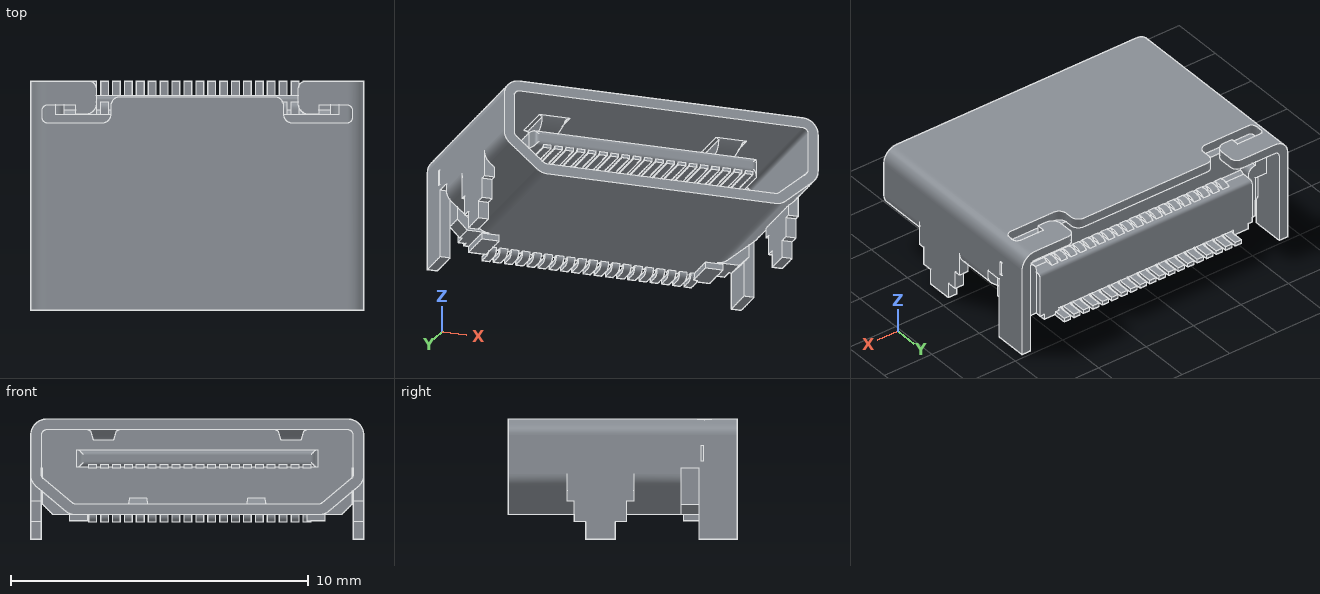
import cadquery as cq
import math


WIDTH = 11.2
LENGTH = 7.7
SHELL_HEIGHT = 3.22
TOTAL_HEIGHT = 4.05
WALL = 0.36
BEND_RADIUS = 0.55
SLOPE_ANGLE = 40.0
SIDE_HEIGHT = 2.11
HALF_WIDTH = WIDTH / 2
INNER_HALF = HALF_WIDTH - WALL
LEG_BOTTOM = SHELL_HEIGHT - TOTAL_HEIGHT
CEILING = SHELL_HEIGHT - WALL

TROUGH_END = LENGTH - 1.9
PLATE_END = LENGTH - 0.53
PLATE_HALF = 2.9
PLATE_CORNER = 0.3
EAR_HALF = 3.39
EAR_FRONT = LENGTH - 1.11
EAR_REAR_CORNER = 0.26
EAR_FRONT_CORNER = 0.35
SLOT_FRONT = LENGTH - 1.41
SLOT_REAR = LENGTH - 0.8
SLOT_OUTER = 5.22
SLOT_CORNER = 0.2
EAR_NOTCH_HALF = 4.09

SIDE_EDGE = SHELL_HEIGHT - 1.85
REAR_LEG_FRONT = LENGTH - 1.29
RELIEF_TOP = SHELL_HEIGHT - 1.65
LEG_CENTRE = LENGTH - 4.6
LEG_STEPS = ((2.24, SHELL_HEIGHT - 2.76), (1.76, SHELL_HEIGHT - 3.45), (1.0, LEG_BOTTOM))
SLIT_WIDTH = 0.09
SLIT_DEPTH = 0.06
SLIT_CENTRE = LENGTH - 1.175
SLIT_TOP = SHELL_HEIGHT - 0.9
SLIT_BOTTOM = SHELL_HEIGHT - 1.42

HOUSING_HALF = 5.2
HOUSING_FOOT_HALF = 4.85
HOUSING_CHAMFER = 0.35
WALL_REAR = LENGTH - 1.13
LOBE_INNER = 4.76
LOBE_REAR = LENGTH - 0.7
LEDGE_REAR = LENGTH - 0.48
LEDGE_FILLET = 0.16
LEDGE_HALF = 4.47
CURB_RISE = 0.1
LEDGE_RAMP_LENGTH = 0.16
LEDGE_RAMP_HEIGHT = 0.08
LEDGE_TOP = SHELL_HEIGHT - 1.52
FOOT_INNER = 3.68
FOOT_OUTER = 4.3
FOOT_FRONT = LENGTH - 1.81
FOOT_DROP = 0.21

TONGUE_HALF = 4.05
TONGUE_TOP = SHELL_HEIGHT - 1.05
TONGUE_BOTTOM = SHELL_HEIGHT - 1.61
TONGUE_TIP = 1.5
TIP_FILLET = 0.165
BEVEL_INSET = 0.13
BEVEL_LENGTH = 0.35

CONTACT_COUNT = 19
CONTACT_PITCH = 0.4
CONTACT_OFFSET = 0.085
CONTACT_WIDTH = 0.27
CONTACT_THICKNESS = 0.15
CONTACT_SETBACK = 0.03
CONTACT_BOTTOM = SHELL_HEIGHT - 1.65
TAIL_DROP = 0.25
TAIL_THICKNESS = 0.15
TAIL_REAR_FACE = LENGTH - 0.56
TAIL_UPPER_BEND = 0.25
TAIL_LOWER_BEND = 0.07
TAIL_RISE = 0.1

TOP_BUMP_X = 3.15
TOP_BUMP_DEPTH = 0.35
TOP_BUMP_BASE = 0.86
TOP_BUMP_TIP = 0.68
TOP_BUMP_LIP = 1.09
TOP_BUMP_LIP_DEPTH = 0.05
TOP_BUMP_CENTRE = 2.6
TOP_BUMP_LENGTH = 1.6
FLOOR_BUMP_X = 1.985
FLOOR_BUMP_HEIGHT = 0.21
FLOOR_BUMP_BASE = 0.65
FLOOR_BUMP_TIP = 0.57
FLOOR_BUMP_START = 1.12
FLOOR_BUMP_END = 3.5

OVERLAP = 0.02


def box(x0, x1, y0, y1, z0, z1):
    """Axis-aligned block between two corners."""
    return cq.Workplane("XY").box(x1 - x0, y1 - y0, z1 - z0, centered=False).translate((x0, y0, z0))


def both_sides(shape):
    """The shape joined with its mirror image across the YZ plane."""
    return shape.union(shape.mirror("YZ"))


def shell_prism(inset, length):
    """Prism of the D-shaped shell section, moved inwards by `inset`, with rounded bends."""
    slope = math.radians(SLOPE_ANGLE)
    half = HALF_WIDTH - inset
    top = SHELL_HEIGHT - inset
    shoulder = SHELL_HEIGHT - SIDE_HEIGHT + inset * math.tan((math.pi / 2 - slope) / 2)
    floor_half = half - (shoulder - inset) / math.tan(slope)
    outline = [
        (-half, top),
        (half, top),
        (half, shoulder),
        (floor_half, inset),
        (-floor_half, inset),
        (-half, shoulder),
    ]
    prism = cq.Workplane("XZ").polyline(outline).close().extrude(-length)
    return prism.edges("|Y").fillet(BEND_RADIUS - inset)


def top_opening():
    """Cut that parts the left rear ear from the top plate, open to the rear."""
    cut = (
        cq.Workplane("XY", origin=(0, 0, SHELL_HEIGHT - BEND_RADIUS))
        .moveTo(-SLOT_OUTER, SLOT_FRONT)
        .lineTo(-PLATE_HALF, SLOT_FRONT)
        .lineTo(-PLATE_HALF, PLATE_END)
        .lineTo(0, PLATE_END)
        .lineTo(0, LENGTH)
        .lineTo(-EAR_HALF - EAR_REAR_CORNER, LENGTH)
        .radiusArc((-EAR_HALF, LENGTH - EAR_REAR_CORNER), EAR_REAR_CORNER)
        .lineTo(-EAR_HALF, EAR_FRONT)
        .lineTo(-EAR_NOTCH_HALF, EAR_FRONT)
        .lineTo(-EAR_NOTCH_HALF, SLOT_REAR)
        .lineTo(-SLOT_OUTER, SLOT_REAR)
        .close()
        .extrude(BEND_RADIUS)
    )
    rounded_corners = (
        (-SLOT_OUTER, SLOT_FRONT, SLOT_CORNER),
        (-SLOT_OUTER, SLOT_REAR, SLOT_CORNER),
        (-PLATE_HALF, SLOT_FRONT, PLATE_CORNER),
        (-PLATE_HALF, PLATE_END, PLATE_CORNER),
        (-EAR_HALF, EAR_FRONT, EAR_FRONT_CORNER),
    )
    for x, y, radius in rounded_corners:
        nearest = cq.selectors.NearestToPointSelector((x, y, SHELL_HEIGHT - BEND_RADIUS / 2))
        cut = cut.edges(nearest).fillet(radius)
    return cut


def side_legs():
    """Left side wall below the bend: rear leg and stepped front leg."""
    legs = box(-HALF_WIDTH, -INNER_HALF, REAR_LEG_FRONT, LENGTH, LEG_BOTTOM, RELIEF_TOP)
    for step_length, step_bottom in LEG_STEPS:
        y0 = LEG_CENTRE - step_length / 2
        legs = legs.union(box(-HALF_WIDTH, -INNER_HALF, y0, y0 + step_length, step_bottom, SIDE_EDGE))
    return legs


def shell():
    """Sheet-metal shell with its rear ears, legs and side slits."""
    body = shell_prism(0, LENGTH).cut(shell_prism(WALL, LENGTH))
    body = body.cut(box(-HALF_WIDTH, HALF_WIDTH, TROUGH_END, LENGTH, 0, RELIEF_TOP))
    body = body.cut(both_sides(top_opening()))
    body = body.union(both_sides(side_legs()))
    slit = box(
        -HALF_WIDTH,
        -HALF_WIDTH + SLIT_DEPTH,
        SLIT_CENTRE - SLIT_WIDTH / 2,
        SLIT_CENTRE + SLIT_WIDTH / 2,
        SLIT_BOTTOM,
        SLIT_TOP,
    )
    return body.cut(both_sides(slit))


def top_bump():
    """Bowed bump hanging from the ceiling on the left, narrowing downwards from a flared lip."""
    root = CEILING + OVERLAP
    taper = [
        (-TOP_BUMP_BASE / 2, CEILING - TOP_BUMP_LIP_DEPTH),
        (-TOP_BUMP_LIP / 2, CEILING),
        (-TOP_BUMP_LIP / 2, root),
        (TOP_BUMP_LIP / 2, root),
        (TOP_BUMP_LIP / 2, CEILING),
        (TOP_BUMP_BASE / 2, CEILING - TOP_BUMP_LIP_DEPTH),
        (TOP_BUMP_TIP / 2, CEILING - TOP_BUMP_DEPTH),
        (-TOP_BUMP_TIP / 2, CEILING - TOP_BUMP_DEPTH),
    ]
    wedge = cq.Workplane("XZ").polyline(taper).close().extrude(-LENGTH)
    start = TOP_BUMP_CENTRE - TOP_BUMP_LENGTH / 2
    bow = (
        cq.Workplane("YZ")
        .moveTo(start, root)
        .threePointArc((TOP_BUMP_CENTRE, CEILING - TOP_BUMP_DEPTH), (start + TOP_BUMP_LENGTH, root))
        .close()
        .extrude(TOP_BUMP_LIP / 2, both=True)
    )
    return wedge.intersect(bow).translate((-TOP_BUMP_X, 0, 0))


def floor_bump():
    """Ramp rising rearwards from the shell floor on the left, narrowing upwards."""
    root = WALL - OVERLAP
    crest = WALL + FLOOR_BUMP_HEIGHT
    taper = [
        (-FLOOR_BUMP_BASE / 2, root),
        (FLOOR_BUMP_BASE / 2, root),
        (FLOOR_BUMP_TIP / 2, crest),
        (-FLOOR_BUMP_TIP / 2, crest),
    ]
    wedge = cq.Workplane("XZ").polyline(taper).close().extrude(-LENGTH)
    side = [
        (FLOOR_BUMP_START, root),
        (FLOOR_BUMP_START, WALL),
        (FLOOR_BUMP_END, crest),
        (FLOOR_BUMP_END, root),
    ]
    ramp = cq.Workplane("YZ").polyline(side).close().extrude(FLOOR_BUMP_BASE / 2, both=True)
    return wedge.intersect(ramp).translate((-FLOOR_BUMP_X, 0, 0))


def tongue():
    """Mating tongue with bevelled sides and a rounded tip."""
    blade_outline = [
        (-TONGUE_HALF, TROUGH_END + OVERLAP),
        (-TONGUE_HALF, TONGUE_TIP + BEVEL_LENGTH),
        (-TONGUE_HALF + BEVEL_INSET, TONGUE_TIP),
        (TONGUE_HALF - BEVEL_INSET, TONGUE_TIP),
        (TONGUE_HALF, TONGUE_TIP + BEVEL_LENGTH),
        (TONGUE_HALF, TROUGH_END + OVERLAP),
    ]
    blade = cq.Workplane("XY", origin=(0, 0, TONGUE_BOTTOM)).polyline(blade_outline).close()
    blade = blade.extrude(TONGUE_TOP - TONGUE_BOTTOM)
    return blade.faces("<Y").edges().fillet(TIP_FILLET)


def rear_ledge():
    """Low ledge behind the wall: rounded rear edge, ramp up to the wall, rounded end curbs."""
    ledge = box(-LEDGE_HALF, LEDGE_HALF, WALL_REAR - OVERLAP, LEDGE_REAR, 0, LEDGE_TOP)
    ledge = ledge.faces(">Y").edges(">Z").fillet(LEDGE_FILLET)
    ramp_side = [
        (WALL_REAR - OVERLAP, LEDGE_TOP - OVERLAP),
        (WALL_REAR - OVERLAP, LEDGE_TOP + LEDGE_RAMP_HEIGHT),
        (WALL_REAR, LEDGE_TOP + LEDGE_RAMP_HEIGHT),
        (WALL_REAR + LEDGE_RAMP_LENGTH, LEDGE_TOP),
        (WALL_REAR + LEDGE_RAMP_LENGTH, LEDGE_TOP - OVERLAP),
    ]
    ramp = cq.Workplane("YZ").polyline(ramp_side).close().extrude(LEDGE_HALF, both=True)
    curb_radius = LOBE_INNER - LEDGE_HALF
    curb = (
        cq.Workplane("XZ", origin=(0, WALL_REAR - OVERLAP, 0))
        .moveTo(-LEDGE_HALF, 0)
        .lineTo(-LEDGE_HALF, LEDGE_TOP + CURB_RISE)
        .radiusArc((-LOBE_INNER, LEDGE_TOP + CURB_RISE + curb_radius), -curb_radius)
        .lineTo(-LOBE_INNER, 0)
        .close()
        .extrude(WALL_REAR - OVERLAP - LOBE_REAR)
    )
    return ledge.union(ramp).union(both_sides(curb))


def housing():
    """Insulator: wall closing the cavity, rear ledge, side lobes, board feet and tongue."""
    base_section = [
        (-HOUSING_HALF, RELIEF_TOP),
        (HOUSING_HALF, RELIEF_TOP),
        (HOUSING_HALF, HOUSING_CHAMFER),
        (HOUSING_FOOT_HALF, 0),
        (-HOUSING_FOOT_HALF, 0),
        (-HOUSING_HALF, HOUSING_CHAMFER),
    ]
    base = cq.Workplane("XZ").polyline(base_section).close().extrude(-LENGTH)
    upper = shell_prism(WALL, LENGTH).intersect(
        box(-HALF_WIDTH, HALF_WIDTH, 0, LENGTH, RELIEF_TOP, SHELL_HEIGHT)
    )
    wall_zone = box(-HALF_WIDTH, HALF_WIDTH, TROUGH_END, WALL_REAR, 0, SHELL_HEIGHT)
    wall = base.union(upper).intersect(wall_zone)
    lobe = upper.intersect(
        box(-HALF_WIDTH, -LOBE_INNER, WALL_REAR - OVERLAP, LOBE_REAR, RELIEF_TOP, SHELL_HEIGHT)
    )
    foot = box(-FOOT_OUTER, -FOOT_INNER, FOOT_FRONT, LEDGE_REAR, -FOOT_DROP, 0)
    return wall.union(rear_ledge()).union(both_sides(lobe)).union(both_sides(foot)).union(tongue())


def contact():
    """One contact centred on X = 0: blade under the tongue, and bent tail on the board."""
    half = CONTACT_WIDTH / 2
    blade = box(
        -half,
        half,
        TONGUE_TIP + CONTACT_SETBACK,
        TROUGH_END + OVERLAP,
        CONTACT_BOTTOM,
        CONTACT_BOTTOM + CONTACT_THICKNESS,
    )
    upper_outer = TAIL_UPPER_BEND + TAIL_THICKNESS
    lower_outer = TAIL_LOWER_BEND + TAIL_THICKNESS
    crest = LEDGE_TOP + TAIL_RISE
    foot_top = TAIL_THICKNESS - TAIL_DROP
    front_face = TAIL_REAR_FACE - TAIL_THICKNESS
    tail = (
        cq.Workplane("YZ")
        .moveTo(WALL_REAR - OVERLAP, crest)
        .lineTo(TAIL_REAR_FACE - upper_outer, crest)
        .radiusArc((TAIL_REAR_FACE, crest - upper_outer), upper_outer)
        .lineTo(TAIL_REAR_FACE, foot_top + TAIL_LOWER_BEND)
        .radiusArc((TAIL_REAR_FACE + TAIL_LOWER_BEND, foot_top), -TAIL_LOWER_BEND)
        .lineTo(LENGTH, foot_top)
        .lineTo(LENGTH, -TAIL_DROP)
        .lineTo(front_face + lower_outer, -TAIL_DROP)
        .radiusArc((front_face, lower_outer - TAIL_DROP), lower_outer)
        .lineTo(front_face, crest - upper_outer)
        .radiusArc((front_face - TAIL_UPPER_BEND, crest - TAIL_THICKNESS), -TAIL_UPPER_BEND)
        .lineTo(WALL_REAR - OVERLAP, crest - TAIL_THICKNESS)
        .close()
        .extrude(half, both=True)
    )
    return blade.union(tail)


result = shell().union(housing())
result = result.union(both_sides(top_bump())).union(both_sides(floor_bump()))
first_contact = CONTACT_OFFSET - CONTACT_PITCH * (CONTACT_COUNT - 1) / 2
for number in range(CONTACT_COUNT):
    result = result.union(contact().translate((first_contact + number * CONTACT_PITCH, 0, 0)))